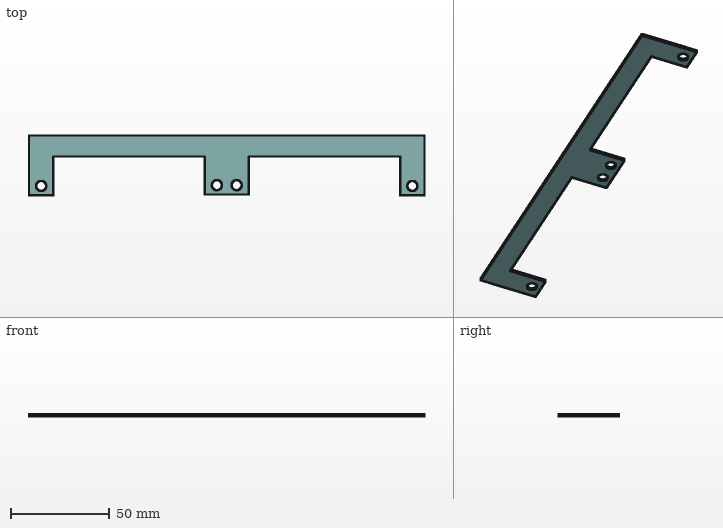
import cadquery as cq

length = 201.1
depth = 30.5
thickness = 1.27

bar_width = 10.9
leg_width = 12.5
tab_width = 22.5
tab_depth = 30.2

hole_diameter = 5.0
hole_edge_distance = 4.8
tab_hole_spacing = 10.0

rear_y = depth / 2
leg_x = (length - leg_width) / 2


def strip(center_x, width, reach):
    """Flat rectangle running forward from the rear edge by the given reach."""
    return (
        cq.Workplane("XY")
        .center(center_x, rear_y - reach / 2)
        .rect(width, reach)
        .extrude(thickness)
    )


plate = strip(0, length, bar_width)
plate = plate.union(strip(0, tab_width, tab_depth))
for side in (-1, 1):
    plate = plate.union(strip(side * leg_x, leg_width, depth))

leg_hole_y = rear_y - depth + hole_edge_distance
tab_hole_y = rear_y - tab_depth + hole_edge_distance
hole_centers = []
for side in (-1, 1):
    hole_centers.append((side * leg_x, leg_hole_y))
    hole_centers.append((side * tab_hole_spacing / 2, tab_hole_y))

holes = (
    cq.Workplane("XY")
    .pushPoints(hole_centers)
    .circle(hole_diameter / 2)
    .extrude(thickness)
)

result = plate.cut(holes)